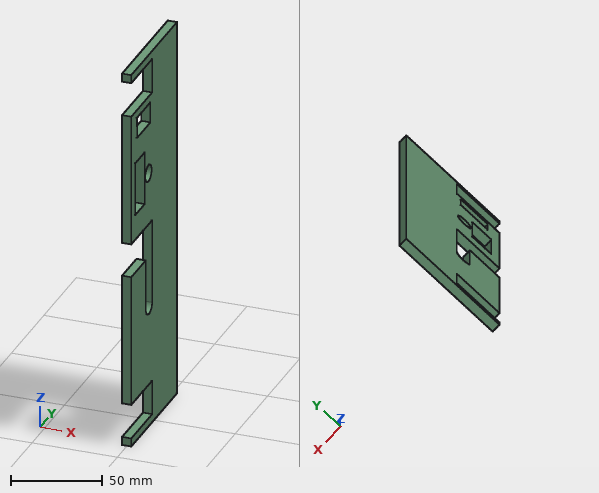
import cadquery as cq

thickness = 5.5
width = 70.5
height = 226.7
front_y = -width / 2
top_z = height / 2

notch_depth = 32.2
end_arm_height = 5.0
end_notch_height = 20.5
middle_notch_height = 20.0

slot_width = 9.7
slot_reach = 45.0

small_window_front = 8.8
small_window_top = 30.2
small_window_width = 20.6
small_window_height = 12.2
large_window_front = 6.1
large_window_top = 56.7
large_window_width = 14.5
large_window_height = 31.5

hole_diameter = 9.7
hole_from_front = 26.5
hole_from_top = 72.0


def block(y_min, z_max, y_size, z_size):
    """Full-thickness block placed by its front upper corner."""
    center_y = y_min + y_size / 2
    center_z = z_max - z_size / 2
    return cq.Workplane("XY").box(thickness, y_size, z_size).translate((0, center_y, center_z))


def cylinder(center_y, center_z, diameter):
    """Full-thickness cylinder along X."""
    axis_plane = cq.Workplane("YZ", origin=(-thickness / 2, 0, 0)).center(center_y, center_z)
    return axis_plane.circle(diameter / 2).extrude(thickness)


plate = cq.Workplane("XY").box(thickness, width, height)

end_notch_top = top_z - end_arm_height
plate = plate.cut(block(front_y, end_notch_top, notch_depth, end_notch_height))
plate = plate.cut(block(front_y, -end_notch_top + end_notch_height, notch_depth, end_notch_height))
plate = plate.cut(block(front_y, middle_notch_height / 2, notch_depth, middle_notch_height))

slot_front = front_y + notch_depth - slot_width
slot_straight = slot_reach - slot_width / 2
plate = plate.cut(block(slot_front, 0, slot_width, slot_straight))
plate = plate.cut(cylinder(slot_front + slot_width / 2, -slot_straight, slot_width))

plate = plate.cut(
    block(front_y + small_window_front, top_z - small_window_top, small_window_width, small_window_height)
)
plate = plate.cut(
    block(front_y + large_window_front, top_z - large_window_top, large_window_width, large_window_height)
)

result = plate.cut(cylinder(front_y + hole_from_front, top_z - hole_from_top, hole_diameter))